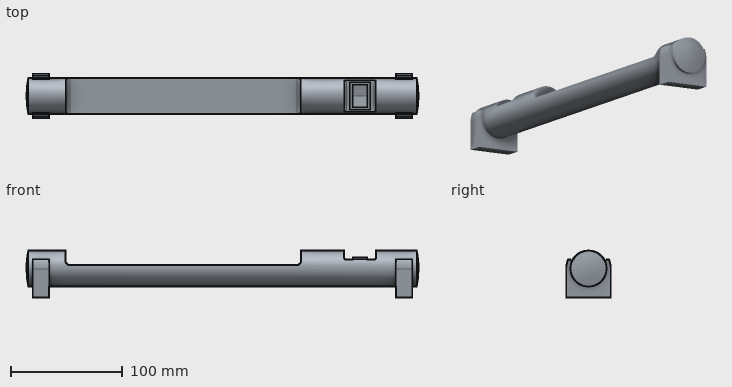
import cadquery as cq
import math

LENGTH = 351.0
HEIGHT = 42.0
TUBE_RADIUS = 16.0
DOME_RISE = 1.8
AXIS_Z = HEIGHT - TUBE_RADIUS
TUBE_HALF = LENGTH / 2 - DOME_RISE

FLAT_START = -140.5
FLAT_END = 70.2
FLAT_Z = 29.0
FLAT_FILLET = 4.0

SEAT_START = 108.8
SEAT_END = 137.2
SEAT_Z = 34.0
SEAT_FILLET = 1.8

FRAME_LENGTH = 18.3
FRAME_WIDTH = 24.5
FRAME_DEPTH = 0.7
ROCKER_LENGTH = 13.5
ROCKER_WIDTH = 20.0
ROCKER_RISE = 2.0
ROCKER_DIP = 1.5
SWITCH_X = (SEAT_START + SEAT_END) / 2

FOOT_WIDTH = 40.0
FOOT_LENGTH = 14.7
FOOT_OFFSET = 162.5
CLIP_RISE = 8.0
LEAD_IN_TOP_Y = 16.5
LEAD_IN_SLOPE = 45.0


def make_tube():
    """Revolve the half profile, domes included, about the tube axis."""
    dome_radius = (TUBE_RADIUS**2 + DOME_RISE**2) / (2 * DOME_RISE)
    mid_r = TUBE_RADIUS / 2
    mid_x = TUBE_HALF + DOME_RISE - dome_radius + math.sqrt(dome_radius**2 - mid_r**2)
    profile = (
        cq.Workplane("XZ")
        .moveTo(-LENGTH / 2, 0)
        .threePointArc((-mid_x, mid_r), (-TUBE_HALF, TUBE_RADIUS))
        .lineTo(TUBE_HALF, TUBE_RADIUS)
        .threePointArc((mid_x, mid_r), (LENGTH / 2, 0))
        .close()
    )
    return profile.revolve(360, (0, 0, 0), (1, 0, 0)).translate((0, 0, AXIS_Z))


def top_cut(start, end, floor, fillet):
    """Block that cuts across the tube, with rounded floor ends."""
    block = cq.Workplane("XY").box(
        end - start, 2 * FOOT_WIDTH, HEIGHT, centered=(False, True, False)
    )
    return block.edges("|Y and <Z").fillet(fillet).translate((start, 0, floor))


def make_foot(x):
    """Foot block whose arms follow the tube and end in sloped lead-ins."""
    half = FOOT_WIDTH / 2
    clip_z = AXIS_Z + CLIP_RISE
    tip_y = math.sqrt(half**2 - CLIP_RISE**2)
    bend = math.asin(CLIP_RISE / half) / 2
    bend_y = half * math.cos(bend)
    bend_z = AXIS_Z + half * math.sin(bend)
    root_z = clip_z - LEAD_IN_TOP_Y * math.tan(math.radians(LEAD_IN_SLOPE))
    outline = (
        cq.Workplane("YZ")
        .moveTo(-half, 0)
        .lineTo(half, 0)
        .lineTo(half, AXIS_Z)
        .threePointArc((bend_y, bend_z), (tip_y, clip_z))
        .lineTo(LEAD_IN_TOP_Y, clip_z)
        .lineTo(0, root_z)
        .lineTo(-LEAD_IN_TOP_Y, clip_z)
        .lineTo(-tip_y, clip_z)
        .threePointArc((-bend_y, bend_z), (-half, AXIS_Z))
        .close()
    )
    return outline.extrude(FOOT_LENGTH / 2, both=True).translate((x, 0, 0))


def make_frame_recess():
    """Shallow rectangular recess around the rocker."""
    recess = cq.Workplane("XY").box(
        FRAME_LENGTH, FRAME_WIDTH, FRAME_DEPTH, centered=(True, True, False)
    )
    return recess.translate((SWITCH_X, 0, SEAT_Z - FRAME_DEPTH))


def make_rocker():
    """Rocker with two faces that dip towards the middle."""
    half = ROCKER_WIDTH / 2
    base_z = SEAT_Z - 2 * FRAME_DEPTH
    top_z = SEAT_Z + ROCKER_RISE
    outline = cq.Workplane("YZ").polyline([
        (-half, base_z),
        (half, base_z),
        (half, top_z),
        (0, top_z - ROCKER_DIP),
        (-half, top_z),
    ]).close()
    return outline.extrude(ROCKER_LENGTH / 2, both=True).translate((SWITCH_X, 0, 0))


body = make_tube()
for side in (-1, 1):
    body = body.union(make_foot(side * FOOT_OFFSET))
body = body.cut(top_cut(FLAT_START, FLAT_END, FLAT_Z, FLAT_FILLET))
body = body.cut(top_cut(SEAT_START, SEAT_END, SEAT_Z, SEAT_FILLET))
body = body.cut(make_frame_recess())
result = body.union(make_rocker())